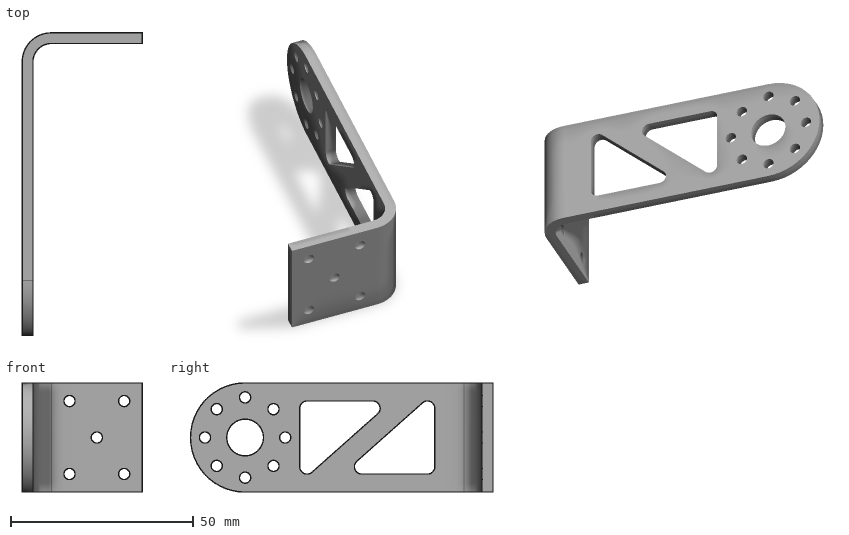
import cadquery as cq
import math


thickness = 3.0
width = 30.0
bend_inner_radius = 5.0
bend_outer_radius = bend_inner_radius + thickness

flange_reach = 33.0
arm_reach = 68.0
end_radius = width / 2

bore_diameter = 10.0
screw_diameter = 3.0
hub_screw_count = 8
hub_screw_circle_radius = 11.0

flange_hole_edge_distance = 5.0
flange_hole_pitch_x = 15.0
flange_hole_pitch_z = 20.0

window_near_y = 15.0
window_far_y = 52.0
window_height = 20.0
window_corner_radius = 2.0
window_leg = 18.0


def make_bent_strip():
    """L-shaped strip: arm along Y, rounded bend, flange along X."""
    bend_x = bend_outer_radius
    bend_y = arm_reach - bend_outer_radius
    diagonal = math.sqrt(0.5)
    outer_mid = (bend_x - bend_outer_radius * diagonal, bend_y + bend_outer_radius * diagonal)
    inner_mid = (bend_x - bend_inner_radius * diagonal, bend_y + bend_inner_radius * diagonal)
    return (
        cq.Workplane("XY")
        .workplane(offset=-width / 2)
        .moveTo(0, 0)
        .lineTo(0, bend_y)
        .threePointArc(outer_mid, (bend_x, arm_reach))
        .lineTo(flange_reach, arm_reach)
        .lineTo(flange_reach, arm_reach - thickness)
        .lineTo(bend_x, arm_reach - thickness)
        .threePointArc(inner_mid, (thickness, bend_y))
        .lineTo(thickness, 0)
        .close()
        .extrude(width)
    )


def arm_plane():
    """Workplane on the outer arm face: local x is Y, local y is Z, normal is +X."""
    return cq.Workplane("YZ")


def make_rounded_end():
    """Half-disc that closes the free end of the arm."""
    return (
        arm_plane()
        .moveTo(0, end_radius)
        .threePointArc((-end_radius, 0), (0, -end_radius))
        .close()
        .extrude(thickness)
    )


def make_hub_holes():
    """Central bore and its ring of screw holes."""
    bore = arm_plane().circle(bore_diameter / 2).extrude(thickness)
    screws = (
        arm_plane()
        .polarArray(hub_screw_circle_radius, 0, 360, hub_screw_count)
        .circle(screw_diameter / 2)
        .extrude(thickness)
    )
    return bore.union(screws)


def make_window(square_corner_y, direction):
    """Right-triangle window: +1 is square at the top and runs to +Y, -1 is the same turned half round."""
    z = direction * (window_height / 2 - window_corner_radius)
    corner_centres = [
        (square_corner_y, z),
        (square_corner_y, -z),
        (square_corner_y + direction * window_leg, z),
    ]
    return (
        arm_plane()
        .polyline(corner_centres)
        .close()
        .offset2D(window_corner_radius, "arc")
        .extrude(thickness)
    )


def make_flange_holes():
    """Screw holes through the flange, along Y."""
    centre_x = flange_reach - flange_hole_edge_distance - flange_hole_pitch_x / 2
    plane = cq.Workplane("XZ", origin=(centre_x, arm_reach, 0))
    corners = (
        plane
        .rarray(flange_hole_pitch_x, flange_hole_pitch_z, 2, 2)
        .circle(screw_diameter / 2)
        .extrude(thickness)
    )
    centre = plane.circle(screw_diameter / 2).extrude(thickness)
    return corners.union(centre)


near_window = make_window(window_near_y + window_corner_radius, 1)
far_window = make_window(window_far_y - window_corner_radius, -1)

result = (
    make_bent_strip()
    .union(make_rounded_end())
    .cut(make_hub_holes())
    .cut(near_window)
    .cut(far_window)
    .cut(make_flange_holes())
)